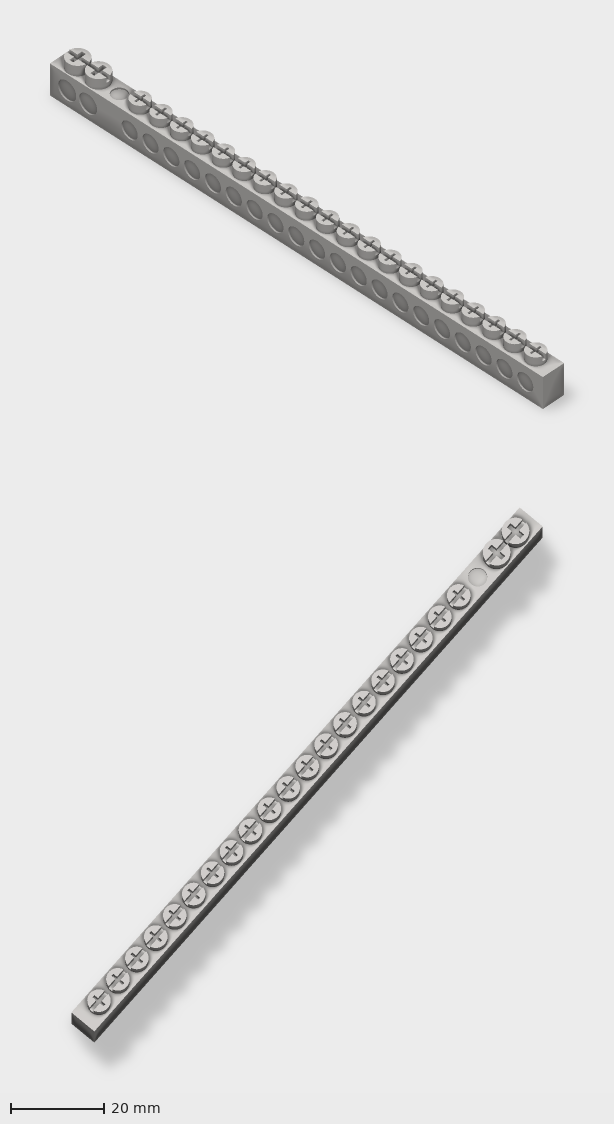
import cadquery as cq


rail_length = 148.0
rail_width = 6.5
rail_height = 9.0

station_count = 23
first_station_x = 5.2
station_span = 137.5
pitch = station_span / (station_count - 1)
stations = [first_station_x + i * pitch for i in range(station_count)]
large_stations = stations[:2]
mount_station = stations[2]
small_stations = stations[3:]

large_head_diameter = 5.9
large_head_height = 3.0
small_head_diameter = 5.0
small_head_height = 2.5

large_slot_width = 1.0
large_slot_depth = 1.5
large_cross_width = 1.2
large_cross_length = 3.8
small_slot_width = 1.0
small_cross_width = 0.6
small_slot_depth = 1.5
small_cross_length = 3.1

large_hole_diameter = 5.5
small_hole_diameter = 4.9
wire_hole_depth = 0.5
wire_hole_z = 4.5
mount_hole_diameter = 4.1
mount_hole_depth = 0.5


def screw_head(diameter, height, slot_width, slot_depth, cross_width, cross_length):
    """Cross-slotted cylindrical head standing on z = 0."""
    head = cq.Workplane("XY").circle(diameter / 2).extrude(height)
    recess_floor = cq.Workplane("XY", origin=(0, 0, height - slot_depth))
    open_slot = recess_floor.rect(2 * diameter, slot_width).extrude(slot_depth)
    cross_slot = recess_floor.rect(cross_width, cross_length).extrude(slot_depth)
    return head.cut(open_slot).cut(cross_slot)


def add_heads(body, head, x_positions):
    """Stand a copy of the head on the rail at every given x."""
    for x in x_positions:
        body = body.union(head.translate((x, 0, rail_height)))
    return body


def cut_wire_holes(body, diameter, x_positions):
    """Sink a blind hole into the front face at every given x."""
    holes = (
        cq.Workplane("XZ", origin=(0, -rail_width / 2, wire_hole_z))
        .pushPoints([(x, 0) for x in x_positions])
        .circle(diameter / 2)
        .extrude(-wire_hole_depth)
    )
    return body.cut(holes)


rail = cq.Workplane("XY").box(
    rail_length, rail_width, rail_height, centered=(False, True, False)
)
rail = cut_wire_holes(rail, large_hole_diameter, large_stations)
rail = cut_wire_holes(rail, small_hole_diameter, small_stations)

mount_hole = (
    cq.Workplane("XY", origin=(mount_station, 0, rail_height))
    .circle(mount_hole_diameter / 2)
    .extrude(-mount_hole_depth)
)
rail = rail.cut(mount_hole)

large_head = screw_head(
    large_head_diameter,
    large_head_height,
    large_slot_width,
    large_slot_depth,
    large_cross_width,
    large_cross_length,
)
small_head = screw_head(
    small_head_diameter,
    small_head_height,
    small_slot_width,
    small_slot_depth,
    small_cross_width,
    small_cross_length,
)
rail = add_heads(rail, large_head, large_stations)
result = add_heads(rail, small_head, small_stations)